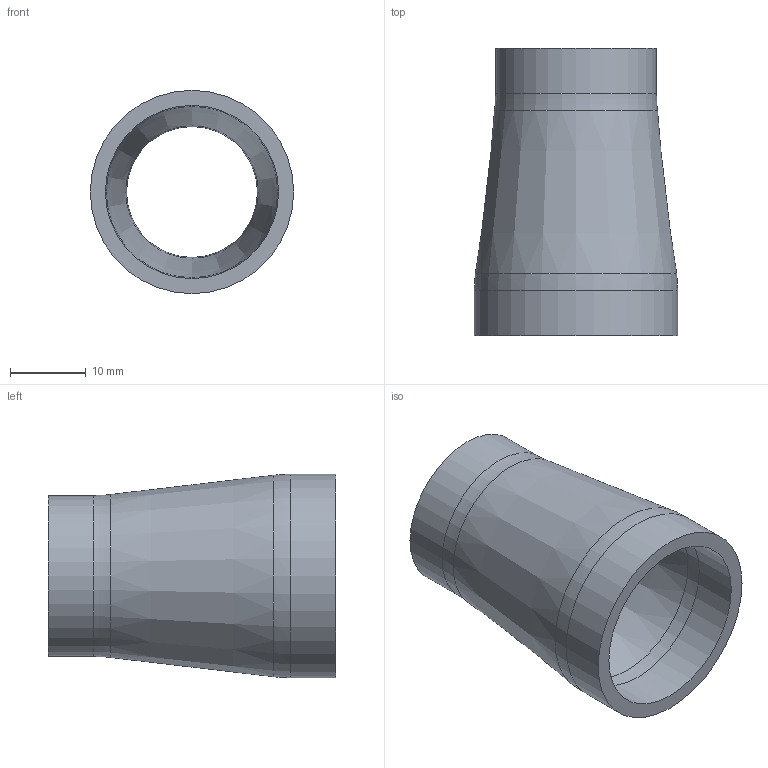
import cadquery as cq
import math

length = 38.0
wall = 2.0
large_radius = 26.9 / 2
small_radius = 21.3 / 2
collar_length = 6.0
bend_radius = 19.0

taper_length = length - 2 * collar_length
radius_drop = large_radius - small_radius
bend_sum = 2 * bend_radius
chord = math.hypot(taper_length, bend_sum - radius_drop)
cone_angle = math.atan2(taper_length, bend_sum - radius_drop) - math.acos(bend_sum / chord)


def bend_size(radius):
    """Axial length and radial drop of an arc that turns by the cone angle."""
    return radius * math.sin(cone_angle), radius * (1 - math.cos(cone_angle))


def reducer_solid(inset):
    """Filled reducer whose surface lies the given distance inside the outer one."""
    large = large_radius - inset
    small = small_radius - inset
    taper_start = collar_length
    taper_end = length - collar_length
    large_bend_length, large_bend_drop = bend_size(bend_radius - inset)
    small_bend_length, small_bend_drop = bend_size(bend_radius + inset)

    return (
        cq.Workplane("YZ")
        .moveTo(0, 0)
        .lineTo(0, large)
        .lineTo(taper_start, large)
        .tangentArcPoint((taper_start + large_bend_length, large - large_bend_drop), relative=False)
        .lineTo(taper_end - small_bend_length, small + small_bend_drop)
        .tangentArcPoint((taper_end, small), relative=False)
        .lineTo(length, small)
        .lineTo(length, 0)
        .close()
        .revolve(360, (0, 0, 0), (1, 0, 0))
    )


outer = reducer_solid(0)
bore = reducer_solid(wall)
result = outer.cut(bore)